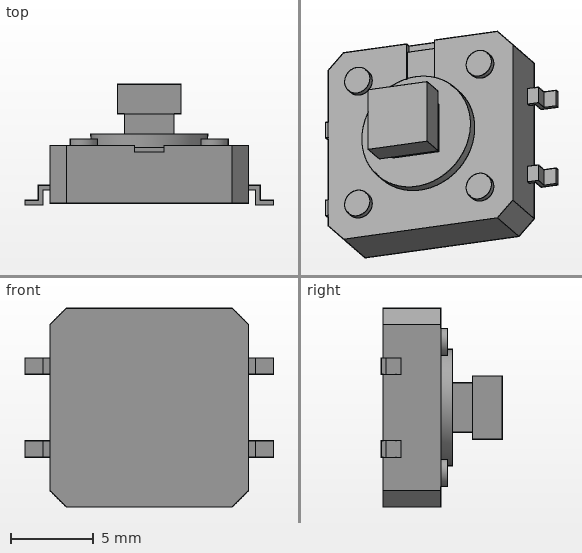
import cadquery as cq

BODY_WIDTH = 12.0
BODY_CORNER = 1.0
BODY_BACK = 0.1
BODY_FRONT = 3.6

DISC_RADIUS = 3.53
DISC_FRONT = 4.3

PIN_RADIUS = 0.82
PIN_OFFSET = 3.95
PIN_FRONT = 4.0

STEM_WIDTH = 3.0
STEM_FRONT = 5.5
HEAD_WIDTH = 3.83
HEAD_FRONT = 7.3

NOTCH_WIDTH = 1.8
NOTCH_FLOOR = 3.2
NOTCH_LENGTH = 0.5
CHANNEL_FLOOR = 3.48

LEAD_SPAN = 15.0
LEAD_WIDTH = 1.0
LEAD_THICKNESS = 0.3
LEAD_TOP = 1.2
LEAD_BEND = 6.4
LEAD_OFFSET = 2.5
LEAD_EMBED = 0.2


def box_between(x_range, y_range, z_range):
    """Box given by its lower and upper limits along each axis."""
    ranges = (x_range, y_range, z_range)
    sizes = [high - low for low, high in ranges]
    corner = tuple(low for low, high in ranges)
    return cq.Workplane("XY").box(*sizes, centered=False).translate(corner)


def centred_block(width, back, front):
    """Square block on the button axis between two y levels."""
    half = width / 2
    return box_between((-half, half), (back, front), (-half, half))


def cylinder(radius, back, front, x=0, z=0):
    """Cylinder along Y between two y levels."""
    axis_start = cq.Vector(x, back, z)
    return cq.Workplane(cq.Solid.makeCylinder(radius, front - back, axis_start, cq.Vector(0, 1, 0)))


def make_body():
    block = centred_block(BODY_WIDTH, BODY_BACK, BODY_FRONT)
    return block.edges("|Y").chamfer(BODY_CORNER)


def make_notch():
    """Stepped cut in the +Z edge: a deep pocket and a shallow channel running in to the disc."""
    x_range = (-NOTCH_WIDTH / 2, NOTCH_WIDTH / 2)
    edge = BODY_WIDTH / 2
    pocket_end = edge - NOTCH_LENGTH
    pocket = box_between(x_range, (NOTCH_FLOOR, BODY_FRONT), (pocket_end, edge))
    channel = box_between(x_range, (CHANNEL_FLOOR, BODY_FRONT), (0, pocket_end))
    return pocket.union(channel)


def make_lead(side, z_centre):
    """Z-bent lead on the +X (side = 1) or -X (side = -1) face."""
    root = BODY_WIDTH / 2 - LEAD_EMBED
    upright_outer = LEAD_BEND + LEAD_THICKNESS
    tip = LEAD_SPAN / 2
    outline = [
        (root, LEAD_TOP),
        (upright_outer, LEAD_TOP),
        (upright_outer, LEAD_THICKNESS),
        (tip, LEAD_THICKNESS),
        (tip, 0),
        (LEAD_BEND, 0),
        (LEAD_BEND, LEAD_TOP - LEAD_THICKNESS),
        (root, LEAD_TOP - LEAD_THICKNESS),
    ]
    points = [(side * x, y) for x, y in outline]
    lead = cq.Workplane("XY").polyline(points).close().extrude(LEAD_WIDTH)
    return lead.translate((0, 0, z_centre - LEAD_WIDTH / 2))


result = make_body().cut(make_notch())
result = result.union(cylinder(DISC_RADIUS, CHANNEL_FLOOR, DISC_FRONT))
result = result.union(centred_block(STEM_WIDTH, DISC_FRONT, STEM_FRONT))
result = result.union(centred_block(HEAD_WIDTH, STEM_FRONT, HEAD_FRONT))

for side_x in (-1, 1):
    for side_z in (-1, 1):
        pin = cylinder(PIN_RADIUS, BODY_FRONT, PIN_FRONT, side_x * PIN_OFFSET, side_z * PIN_OFFSET)
        result = result.union(pin)
        result = result.union(make_lead(side_x, side_z * LEAD_OFFSET))